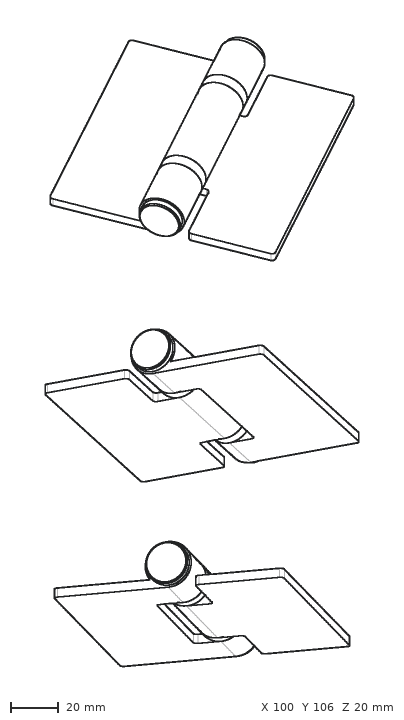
import cadquery as cq


overall_length = 106.0
leaf_length = 100.0
hinge_width = 100.0

barrel_diameter = 20.0
barrel_radius = barrel_diameter / 2
middle_knuckle_length = 46.0
washer_thickness = 5.0
cap_diameter = 18.2
cap_chamfer = 0.5

plate_thickness = 4.0
barrel_clearance = 1.6
corner_radius = 1.6

leaf_end = leaf_length / 2
middle_knuckle_end = middle_knuckle_length / 2
washer_outer_end = middle_knuckle_end + washer_thickness
cap_thickness = (overall_length - leaf_length) / 2
plate_reach = hinge_width / 2
plate_inner_edge = barrel_radius + barrel_clearance
plate_bottom = -barrel_radius


def cylinder_along_axis(diameter, start, end):
    """Solid cylinder on the Y axis between two Y positions."""
    return (
        cq.Workplane("XZ", origin=(0, start, 0))
        .circle(diameter / 2)
        .extrude(start - end)
    )


def plate_block(x_start, x_end, y_start, y_end):
    """Rectangular block with the thickness and height of the leaf plates."""
    return cq.Workplane("XY").box(
        x_end - x_start, y_end - y_start, plate_thickness, centered=False
    ).translate((x_start, y_start, plate_bottom))


def round_corners(plate, x_position, y_position):
    """Round the upright edges at one X and at both plus and minus one Y."""
    margin = corner_radius / 2
    for y in (-y_position, y_position):
        corner = cq.selectors.BoxSelector(
            (x_position - margin, y - margin, plate_bottom - margin),
            (x_position + margin, y + margin, plate_bottom + plate_thickness + margin),
        )
        plate = plate.edges(corner).fillet(corner_radius)
    return plate


def make_outer_knuckle_leaf():
    """Left leaf: a notched plate with a knuckle at each end of the barrel."""
    plate = plate_block(-plate_reach, 0, -leaf_end, leaf_end)
    notch = plate_block(-plate_inner_edge, 0, -washer_outer_end, washer_outer_end)
    plate = plate.cut(notch)
    plate = round_corners(plate, -plate_reach, leaf_end)
    leaf = round_corners(plate, -plate_inner_edge, washer_outer_end)
    for start, end in ((-leaf_end, -washer_outer_end), (washer_outer_end, leaf_end)):
        leaf = leaf.union(cylinder_along_axis(barrel_diameter, start, end))
    return leaf


def make_middle_knuckle_leaf():
    """Right leaf: a plate with a tongue that carries the middle knuckle."""
    plate = plate_block(plate_inner_edge, plate_reach, -leaf_end, leaf_end)
    tongue = plate_block(0, plate_inner_edge, -middle_knuckle_end, middle_knuckle_end)
    plate = plate.union(tongue)
    plate = round_corners(plate, plate_reach, leaf_end)
    plate = round_corners(plate, plate_inner_edge, leaf_end)
    plate = round_corners(plate, plate_inner_edge, middle_knuckle_end)
    return plate.union(
        cylinder_along_axis(barrel_diameter, -middle_knuckle_end, middle_knuckle_end)
    )


def make_washer(side):
    """Spacer disc between the middle knuckle and an end knuckle."""
    return cylinder_along_axis(
        barrel_diameter, side * middle_knuckle_end, side * washer_outer_end
    )


def make_cap(side):
    """Chamfered disc closing one end of the barrel."""
    outer_face = ">Y" if side > 0 else "<Y"
    cap = cylinder_along_axis(
        cap_diameter, side * leaf_end, side * (leaf_end + cap_thickness)
    )
    return cap.faces(outer_face).chamfer(cap_chamfer)


outer_knuckle_leaf = make_outer_knuckle_leaf().solids().val()
middle_knuckle_leaf = make_middle_knuckle_leaf().solids().val()

washers = []
caps = []
for end_side in (-1, 1):
    washers.append(make_washer(end_side).val())
    caps.append(make_cap(end_side).val())

result = cq.Compound.makeCompound(
    [outer_knuckle_leaf, middle_knuckle_leaf, *washers, *caps]
)